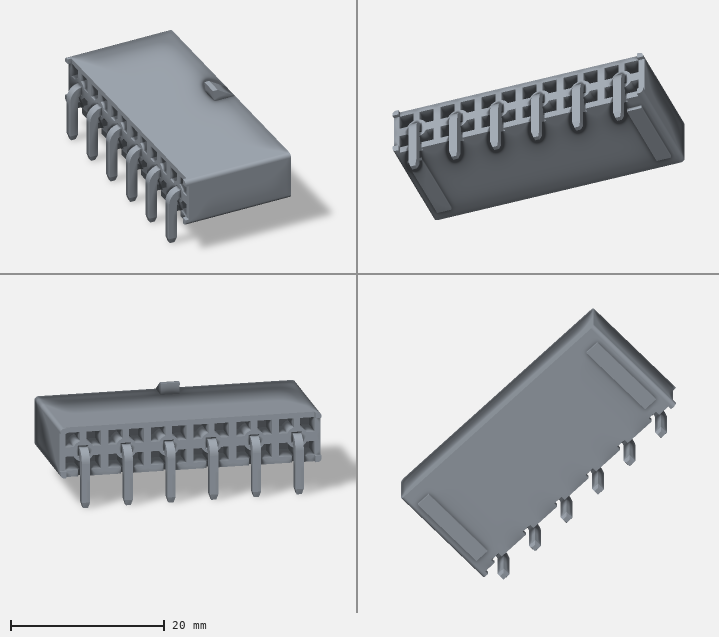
import cadquery as cq

housing_width = 34.85
housing_depth = 14.85
housing_height = 6.73
corner_radius = 0.52

ear_width = 0.85
ear_length = 0.52

contact_count = 6
contact_span = 28.5
contact_pitch = contact_span / (contact_count - 1)
contact_z = 3.38
contact_xs = [i * contact_pitch - contact_span / 2 for i in range(contact_count)]

pocket_field_width = 4.75
pocket_bottom = 0.87
pocket_top = 6.0
pocket_depth = 3.5
cross_bar_height = 1.25
web_width = 0.85
boss_radius = 1.43

lead_in_size = 1.55
lead_in_depth = 0.2

relief_width = 1.35
relief_top = 2.02
relief_depth = 0.6

pin_size = 1.1
pin_reach = 1.6
pin_drop = 3.95
bend_inner_radius = 0.73
bend_outer_radius = bend_inner_radius + pin_size
pin_embed = 1.4
tip_length = 0.75
tip_size = 0.65

latch_width = 2.5
latch_height = 1.6
latch_base_length = 3.0
latch_tip_length = 3.2
latch_ramp_length = 2.5

standoff_outer_x = 16.27
standoff_width = 2.02
standoff_height = 0.45
standoff_front = 1.95
standoff_rear = 12.93


def block(x_range, y_range, z_range):
    """Box spanning the given (low, high) ranges."""
    (x0, x1), (y0, y1), (z0, z1) = x_range, y_range, z_range
    return cq.Workplane("XY").box(x1 - x0, y1 - y0, z1 - z0, centered=False).translate((x0, y0, z0))


def make_housing():
    """Rounded shell outline with the front trimmed back to leave four corner ears."""
    half_width = housing_width / 2
    total_depth = housing_depth + ear_length
    body = (
        cq.Workplane("XY")
        .box(housing_width, total_depth, housing_height, centered=(True, False, False))
        .translate((0, -ear_length, 0))
        .edges("|Y")
        .fillet(corner_radius)
    )
    inner_half = half_width - ear_width
    front = (-ear_length, 0)
    body = body.cut(block((-inner_half, inner_half), front, (0, housing_height)))
    return body.cut(block((-half_width, half_width), front, (pocket_bottom, pocket_top)))


def make_pockets():
    """Four pockets around a contact, separated by a cross of webs and a round boss."""
    half_field = pocket_field_width / 2
    depth = (0, pocket_depth)
    field = block((-half_field, half_field), depth, (pocket_bottom, pocket_top))
    cross_bar = block(
        (-half_field, half_field),
        depth,
        (contact_z - cross_bar_height / 2, contact_z + cross_bar_height / 2),
    )
    web = block((-web_width / 2, web_width / 2), depth, (pocket_bottom, pocket_top))
    boss = cq.Workplane("XZ").center(0, contact_z).circle(boss_radius).extrude(-pocket_depth)
    return field.cut(cross_bar).cut(web).cut(boss)


def make_lead_in():
    """Square funnel narrowing from the contact face to the pin section."""
    return (
        cq.Workplane("XZ")
        .center(0, contact_z)
        .rect(lead_in_size, lead_in_size)
        .workplane(offset=-lead_in_depth)
        .rect(pin_size, pin_size)
        .loft(ruled=True)
    )


def make_relief():
    """Wedge that slopes back from the contact face to the underside."""
    return (
        cq.Workplane("YZ")
        .polyline([(0, 0), (0, relief_top), (relief_depth, 0)])
        .close()
        .extrude(relief_width / 2, both=True)
    )


def make_pin():
    """Right-angle square pin with a tapered tip."""
    outer_y = -pin_reach
    inner_y = outer_y + pin_size
    bend_y = outer_y + bend_outer_radius
    top_z = contact_z + pin_size / 2
    under_z = contact_z - pin_size / 2
    bend_z = top_z - bend_outer_radius
    taper_z = tip_length - pin_drop
    shank = (
        cq.Workplane("YZ")
        .moveTo(pin_embed, top_z)
        .lineTo(bend_y, top_z)
        .radiusArc((outer_y, bend_z), -bend_outer_radius)
        .lineTo(outer_y, taper_z)
        .lineTo(inner_y, taper_z)
        .lineTo(inner_y, bend_z)
        .radiusArc((bend_y, under_z), bend_inner_radius)
        .lineTo(pin_embed, under_z)
        .close()
        .extrude(pin_size / 2, both=True)
    )
    tip = (
        cq.Workplane("XY", origin=(0, outer_y + pin_size / 2, taper_z))
        .rect(pin_size, pin_size)
        .workplane(offset=-tip_length)
        .rect(tip_size, tip_size)
        .loft(ruled=True)
    )
    return shank.union(tip)


def make_latch():
    """Ramp rising from the rear edge to a slightly undercut catch face."""
    latch_top = housing_height + latch_height
    profile = [
        (housing_depth, housing_height),
        (housing_depth - latch_ramp_length, latch_top),
        (housing_depth - latch_tip_length, latch_top),
        (housing_depth - latch_base_length, housing_height),
    ]
    return cq.Workplane("YZ").polyline(profile).close().extrude(latch_width / 2, both=True)


def make_standoff(side):
    """Strip under one end of the housing; side is -1 or 1."""
    center_x = side * (standoff_outer_x - standoff_width / 2)
    return block(
        (center_x - standoff_width / 2, center_x + standoff_width / 2),
        (standoff_front, standoff_rear),
        (-standoff_height, 0),
    )


result = make_housing().union(make_latch())
for end in (-1, 1):
    result = result.union(make_standoff(end))

for contact_x in contact_xs:
    for cavity in (make_pockets(), make_lead_in(), make_relief()):
        result = result.cut(cavity.translate((contact_x, 0, 0)))
    result = result.union(make_pin().translate((contact_x, 0, 0)))